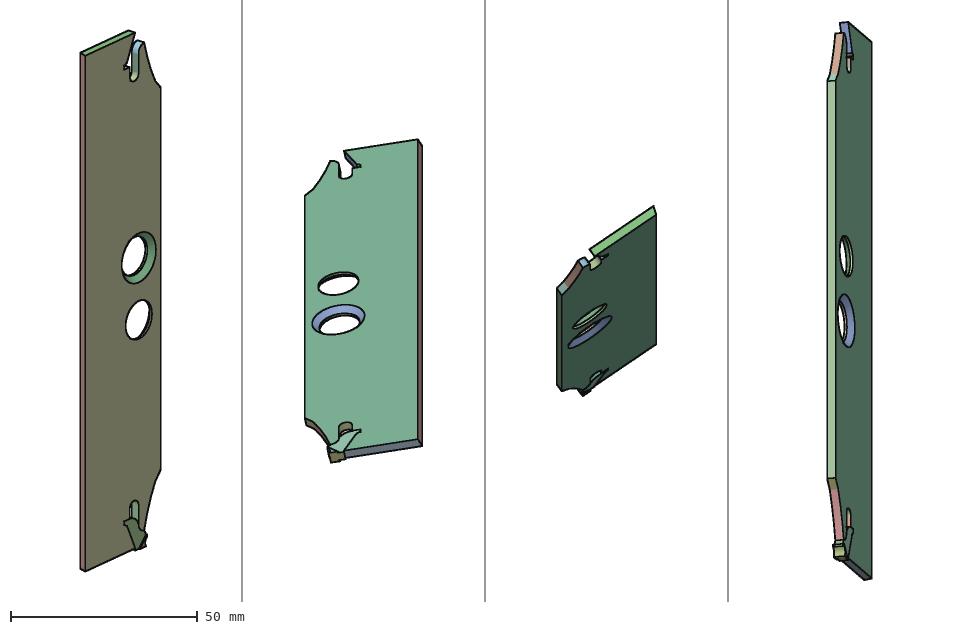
import cadquery as cq

blade_length = 150.0
blade_width = 31.6
blade_thickness = 2.4
blade_end = blade_length / 2
back_bevel_width = 0.8

hole_diameter = 11.0
countersink_diameter = 14.3
countersink_depth = 1.7
hole_y = 22.5
hole_offset_z = 9.0

seat_tip = (21.0, 0.0)
seat_root = (17.5, 7.7)
seat_pocket_bend = (16.9, 8.0)
seat_pocket_corner = (16.4, 8.3)
seat_floor_depth = 9.3

slot_inner_y = 18.7
slot_outer_y = 22.3
slot_radius = (slot_outer_y - slot_inner_y) / 2
slot_middle_y = (slot_inner_y + slot_outer_y) / 2
slot_end_depth = 14.0
slot_arc_depth = slot_end_depth - slot_radius

finger_inner = (slot_outer_y, 6.8)
finger_bend = (23.2, 4.7)
finger_tip = (24.7, 4.0)
clearance_middle = (26.5, 10.2)
clearance_end = (29.4, 16.9)
clearance_corner_depth = 19.5

insert_overhang = 0.6
head_thickness = 3.2
insert_heel = (21.0, -insert_overhang)
insert_nose = (25.0, -insert_overhang)
rake_hollow = (24.7, 0.9)
chip_lip = (25.5, 2.7)
rake_start = (25.5, 2.1)
insert_crest = (20.6, 8.7)
head_inner = (22.5, -insert_overhang)


def at_end(point, toward_end):
    """Turn (Y, depth) into (Y, Z) at the upper (+1) or lower (-1) end of the blade."""
    y, depth = point
    return y, toward_end * (blade_end - depth)


def trace_seat(outline, toward_end):
    """Continue an outline along the seat from its tip to the slot; toward_end is +1 or -1 in Z."""
    return (
        outline.lineTo(*at_end(seat_root, toward_end))
        .lineTo(*at_end(seat_pocket_bend, toward_end))
        .lineTo(*at_end(seat_pocket_corner, toward_end))
        .lineTo(*at_end((seat_pocket_corner[0], seat_floor_depth), toward_end))
        .lineTo(*at_end((slot_inner_y, seat_floor_depth), toward_end))
    )


def extrude_centred(outline, thickness):
    """Extrude a closed YZ outline equally to both sides of X = 0."""
    return outline.close().extrude(thickness / 2, both=True)


def make_end_notch(toward_end):
    """Material removed at one end: insert seat, relief slot and outer clearance."""
    outline = cq.Workplane("YZ").moveTo(*at_end(seat_tip, toward_end))
    outline = trace_seat(outline, toward_end)
    outline = (
        outline.lineTo(*at_end((slot_inner_y, slot_arc_depth), toward_end))
        .threePointArc(
            at_end((slot_middle_y, slot_end_depth), toward_end),
            at_end((slot_outer_y, slot_arc_depth), toward_end),
        )
        .lineTo(*at_end(finger_inner, toward_end))
        .threePointArc(at_end(finger_bend, toward_end), at_end(finger_tip, toward_end))
        .threePointArc(at_end(clearance_middle, toward_end), at_end(clearance_end, toward_end))
        .lineTo(*at_end((blade_width, clearance_corner_depth), toward_end))
        .lineTo(*at_end((blade_width, 0), toward_end))
    )
    return extrude_centred(outline, blade_thickness)


def make_hole(z):
    """Plain through hole."""
    return (
        cq.Workplane("YZ", origin=(-blade_thickness / 2, hole_y, z))
        .circle(hole_diameter / 2)
        .extrude(blade_thickness)
    )


def make_countersink(side, z):
    """Cone that narrows inward to the hole diameter; side is the face it opens on, +1 or -1 in X."""
    cone = cq.Solid.makeCone(
        countersink_diameter / 2,
        hole_diameter / 2,
        countersink_depth,
        pnt=cq.Vector(side * blade_thickness / 2, hole_y, z),
        dir=cq.Vector(-side, 0, 0),
    )
    return cq.Workplane(obj=cone)


def make_blade():
    half_thickness = blade_thickness / 2
    blade = (
        cq.Workplane("XY", origin=(0, 0, -blade_end))
        .moveTo(-half_thickness, back_bevel_width)
        .lineTo(half_thickness, 0)
        .lineTo(half_thickness, blade_width)
        .lineTo(-half_thickness, blade_width)
        .close()
        .extrude(blade_length)
    )
    for toward_end in (1, -1):
        blade = blade.cut(make_end_notch(toward_end))
        blade = blade.cut(make_hole(toward_end * hole_offset_z))
        blade = blade.cut(make_countersink(toward_end, toward_end * hole_offset_z))
    return blade


def make_insert():
    """Insert in the lower seat, as thick as the blade except for its wider cutting head."""
    outline = (
        cq.Workplane("YZ")
        .moveTo(*at_end(insert_heel, -1))
        .lineTo(*at_end(seat_tip, -1))
    )
    outline = (
        trace_seat(outline, -1)
        .threePointArc(at_end(insert_crest, -1), at_end(finger_inner, -1))
        .threePointArc(at_end(finger_bend, -1), at_end(finger_tip, -1))
        .lineTo(*at_end(chip_lip, -1))
        .lineTo(*at_end(rake_start, -1))
        .threePointArc(at_end(rake_hollow, -1), at_end(insert_nose, -1))
    )
    body = extrude_centred(outline, blade_thickness)

    head_outline = (
        cq.Workplane("YZ")
        .moveTo(*at_end(head_inner, -1))
        .lineTo(*at_end(chip_lip, -1))
        .lineTo(*at_end(rake_start, -1))
        .threePointArc(at_end(rake_hollow, -1), at_end(insert_nose, -1))
    )
    return body.union(extrude_centred(head_outline, head_thickness))


blade = make_blade()
insert = make_insert()

result = cq.Compound.makeCompound([blade.val(), insert.val()])